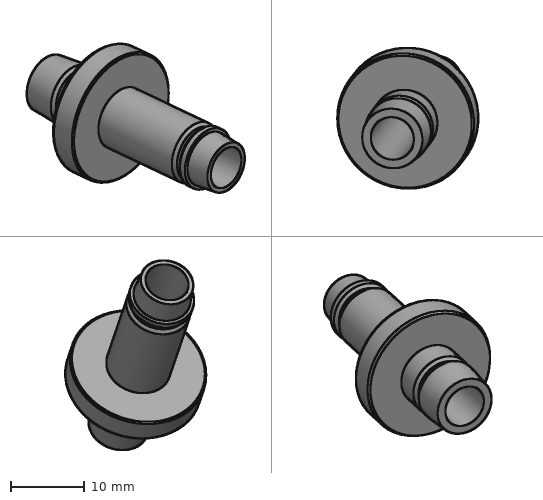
import cadquery as cq

length = 34.0
left_tip_length = 4.0
left_groove_start = 4.93
flange_start = 10.0
flange_width = 4.0
right_groove_start = 28.0
right_tip_length = 3.5

flange_radius = 19.0 / 2
body_radius = 4.5
bore_radius = 3.0
left_tip_radius = 4.18
right_tip_root_radius = 3.98
right_tip_radius = 3.67

groove_depth = 0.48
groove_flank_width = 0.5
groove_floor_width = 0.5

left_chamfer_width = 0.4
right_chamfer_width = 0.2
chamfer_depth = 0.25


def make_shaft():
    """Round shaft with a conical left tip and a stepped, conical right tip."""
    shoulder = length - right_tip_length
    return (
        cq.Workplane("XY")
        .moveTo(0, 0)
        .lineTo(0, left_tip_radius)
        .lineTo(left_tip_length, body_radius)
        .lineTo(shoulder, body_radius)
        .lineTo(shoulder, right_tip_root_radius)
        .lineTo(length, right_tip_radius)
        .lineTo(length, 0)
        .close()
        .revolve(360, (0, 0, 0), (1, 0, 0))
    )


def make_groove(start):
    """Ring to cut from the shaft, its left edge at start."""
    floor_start = start + groove_flank_width
    floor_end = floor_start + groove_floor_width
    floor_radius = body_radius - groove_depth
    return (
        cq.Workplane("XY")
        .moveTo(start, body_radius)
        .lineTo(floor_start, floor_radius)
        .lineTo(floor_end, floor_radius)
        .lineTo(floor_end + groove_flank_width, body_radius)
        .close()
        .revolve(360, (0, 0, 0), (1, 0, 0))
    )


def make_flange():
    """Disc with a different chamfer on each rim."""
    flange_end = flange_start + flange_width
    face_radius = flange_radius - chamfer_depth
    return (
        cq.Workplane("XY")
        .moveTo(flange_start, 0)
        .lineTo(flange_start, face_radius)
        .lineTo(flange_start + left_chamfer_width, flange_radius)
        .lineTo(flange_end - right_chamfer_width, flange_radius)
        .lineTo(flange_end, face_radius)
        .lineTo(flange_end, 0)
        .close()
        .revolve(360, (0, 0, 0), (1, 0, 0))
    )


body = make_shaft().union(make_flange())
for groove_start in (left_groove_start, right_groove_start):
    body = body.cut(make_groove(groove_start))

bore = cq.Workplane("YZ").circle(bore_radius).extrude(length)
result = body.cut(bore)